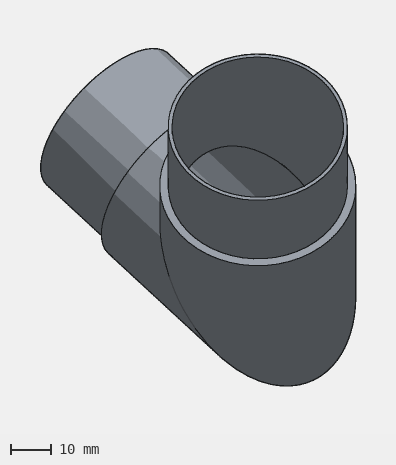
import cadquery as cq

overall_length = 80.0
body_diameter = 48.3
spigot_diameter = 44.2
bore_diameter = 42.2
spigot_length = 25.0

leg_length = overall_length - body_diameter / 2
body_leg_length = leg_length - spigot_length


def mitred_elbow(diameter, length):
    """Solid round bar along -X and +Z with a sharp 45 degree mitre at the origin."""
    path = cq.Workplane("XZ").moveTo(-length, 0).lineTo(0, 0).lineTo(0, length)
    profile = cq.Workplane("YZ", origin=(-length, 0, 0)).circle(diameter / 2)
    return profile.sweep(path, transition="right")


body = mitred_elbow(body_diameter, body_leg_length)
spigots = mitred_elbow(spigot_diameter, leg_length)

bore = mitred_elbow(bore_diameter, leg_length)

result = body.union(spigots).cut(bore)